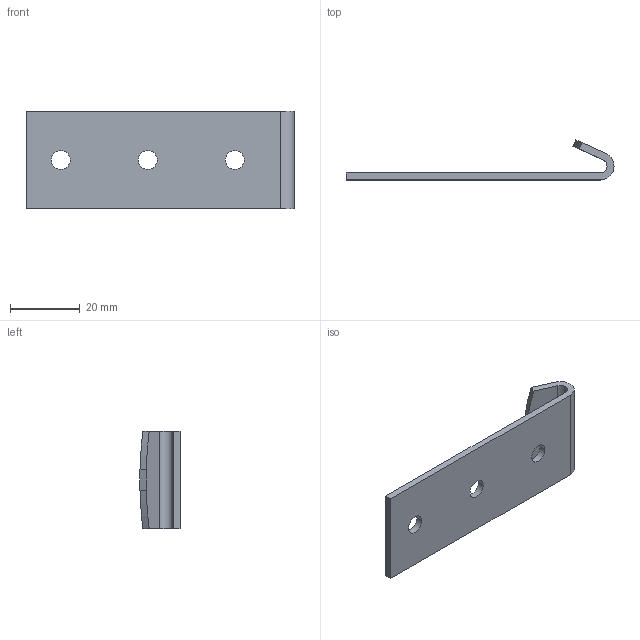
import cadquery as cq
import math

length = 77.0
depth = 11.495
height = 28.0

thickness = 2.0
inner_radius = 2.0
outer_radius = inner_radius + thickness
lip_angle = math.radians(24.0)

hole_diameter = 5.4
first_hole_x = 10.0
hole_pitch = 25.0
hole_count = 3

tip_flat = 5.8
tip_drop = 2.0
tip_arc_radius = 50.0

bend_x = length - outer_radius
bend_y = outer_radius

lip_length = (depth - bend_y - outer_radius * math.cos(lip_angle)) / math.sin(lip_angle)


def bend_point(radius, angle):
    """Point on the bend, with the angle measured from +X."""
    return (bend_x + radius * math.cos(angle), bend_y + radius * math.sin(angle))


def lip_end(start):
    """Point reached by following the lip from the end of the bend."""
    return (
        start[0] - lip_length * math.cos(lip_angle),
        start[1] + lip_length * math.sin(lip_angle),
    )


def make_hook():
    """Plate, bend and lip as one constant-thickness strip."""
    bend_end_angle = math.pi / 2 - lip_angle
    outer_bend_end = bend_point(outer_radius, bend_end_angle)
    inner_bend_end = bend_point(inner_radius, bend_end_angle)
    return (
        cq.Workplane("XY")
        .moveTo(0, 0)
        .lineTo(bend_x, 0)
        .threePointArc(bend_point(outer_radius, 0), outer_bend_end)
        .lineTo(*lip_end(outer_bend_end))
        .lineTo(*lip_end(inner_bend_end))
        .lineTo(*inner_bend_end)
        .threePointArc(bend_point(inner_radius, 0), (bend_x, thickness))
        .lineTo(0, thickness)
        .close()
        .extrude(height)
    )


def make_holes():
    """Row of through holes along the middle of the plate."""
    centers = [(first_hole_x + i * hole_pitch, height / 2) for i in range(hole_count)]
    return (
        cq.Workplane("XZ", origin=(0, thickness, 0))
        .pushPoints(centers)
        .circle(hole_diameter / 2)
        .extrude(thickness)
    )


def make_tip_corner(side):
    """Waste outside the crowned lip edge; side is +1 at the top, -1 at the bottom."""
    tip = lip_end(bend_point(outer_radius, math.pi / 2 - lip_angle))
    lip_plane = cq.Plane(
        origin=(tip[0], tip[1], height / 2),
        xDir=(math.cos(lip_angle), -math.sin(lip_angle), 0),
        normal=(-math.sin(lip_angle), -math.cos(lip_angle), 0),
    )
    flat_end = tip_flat / 2
    arc_span = height / 2 - flat_end
    chord = math.hypot(arc_span, tip_drop)
    bulge = tip_arc_radius - math.sqrt(tip_arc_radius**2 - (chord / 2) ** 2)
    arc_middle = (
        tip_drop / 2 - bulge * arc_span / chord,
        side * (flat_end + arc_span / 2 + bulge * tip_drop / chord),
    )
    return (
        cq.Workplane(lip_plane)
        .moveTo(0, side * flat_end)
        .threePointArc(arc_middle, (tip_drop, side * height / 2))
        .lineTo(0, side * height / 2)
        .close()
        .extrude(thickness)
    )


result = make_hook().cut(make_holes())
for side in (1, -1):
    result = result.cut(make_tip_corner(side))